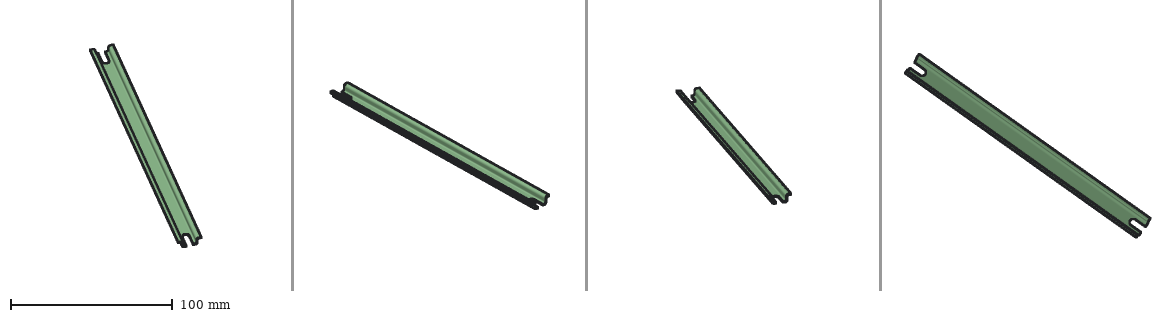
import cadquery as cq

length = 177.0
width = 15.0
height = 5.5
thickness = 0.9

channel_width = 10.25
bend_radius = thickness

slot_width = 4.5
slot_depth = 10.0


def rail_centreline():
    """Line through the middle of the sheet, from one lip edge to the other."""
    half_sheet = thickness / 2
    wall_y = channel_width / 2 - half_sheet
    web_z = half_sheet
    lip_z = height - half_sheet
    lip_edge_y = width / 2
    mid_radius = bend_radius + half_sheet
    return (
        cq.Workplane("YZ", origin=(-length / 2, 0, 0))
        .moveTo(-lip_edge_y, lip_z)
        .lineTo(-wall_y - mid_radius, lip_z)
        .tangentArcPoint((-wall_y, lip_z - mid_radius), relative=False)
        .lineTo(-wall_y, web_z + mid_radius)
        .tangentArcPoint((-wall_y + mid_radius, web_z), relative=False)
        .lineTo(wall_y - mid_radius, web_z)
        .tangentArcPoint((wall_y, web_z + mid_radius), relative=False)
        .lineTo(wall_y, lip_z - mid_radius)
        .tangentArcPoint((wall_y + mid_radius, lip_z), relative=False)
        .lineTo(lip_edge_y, lip_z)
    )


def rail_body():
    """Constant sheet thickness around the centreline, extruded along X.

    The band reaches past the lip edges by its rounded offset ends,
    so it is trimmed square to the overall width.
    """
    band = rail_centreline().offset2D(thickness / 2).extrude(length)
    envelope = cq.Workplane("XY").box(length, width, height, centered=(True, True, False))
    return band.intersect(envelope)


def end_slot(side):
    """Round-bottomed slot cutter entering from the -X (side=-1) or +X (side=1) end."""
    radius = slot_width / 2
    end_x = side * length / 2
    arc_x = end_x - side * (slot_depth - radius)
    return (
        cq.Workplane("XY")
        .moveTo(end_x, -radius)
        .lineTo(arc_x, -radius)
        .threePointArc((end_x - side * slot_depth, 0), (arc_x, radius))
        .lineTo(end_x, radius)
        .close()
        .extrude(height)
    )


result = rail_body()
for side in (-1, 1):
    result = result.cut(end_slot(side))